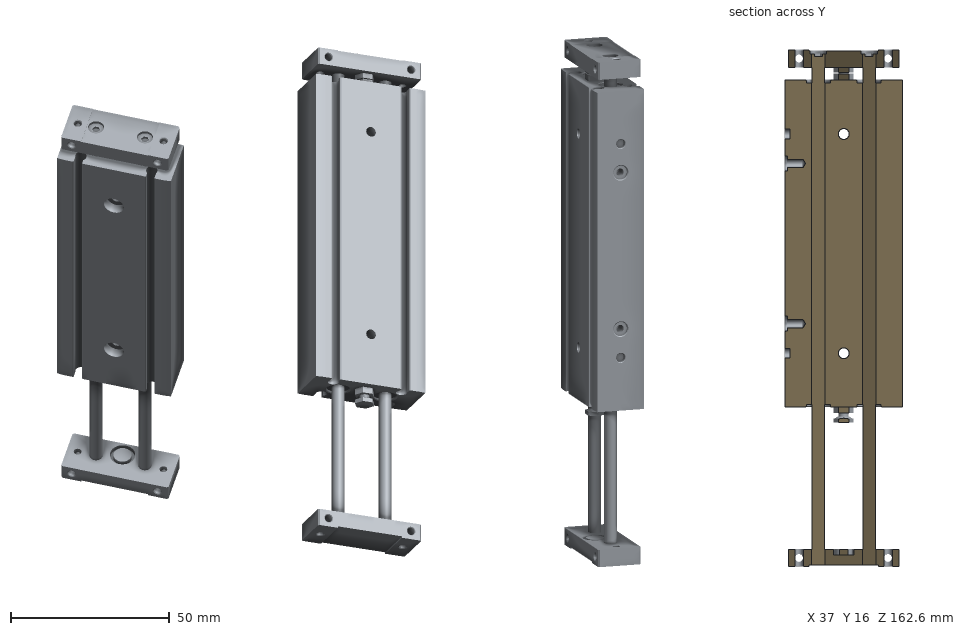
import cadquery as cq
import math

total_height = 162.6
plate_height = 5.5
housing_length = 103.0
housing_bottom = 50.2
housing_top = housing_bottom + housing_length
housing_middle = housing_bottom + housing_length / 2

housing_width = 37.0
housing_depth = 16.0
crown_width = 3.1
crown_drop = 0.25
groove_inner_x = 10.4
groove_outer_x = 13.2
groove_lip_width = 0.3
groove_lip_height = 0.2
channel_diameter = 3.5
channel_x = 11.5
channel_depth = 3.0

mount_pitch = 69.0
mount_diameter = 3.3
mount_counterbore_diameter = 6.5
mount_counterbore_depth = 3.3
port_pitch = 50.4
port_mouth_diameter = 5.0
port_diameter = 4.5
port_depth = 0.8
port_passage_diameter = 2.5
port_passage_depth = 4.9
drill_tip_angle = 118.0
plug_mouth_diameter = 3.3
plug_diameter = 3.0
plug_depth = 1.6

plate_width = 35.0
plate_depth = 14.1
plate_edge_chamfer = 0.5
relief_width = 21.8
lower_relief_depth = 0.5
upper_relief_depth = 0.2
plate_hole_x = 14.0
plate_hole_mouth_diameter = 3.0
plate_hole_diameter = 2.5

rod_diameter = 4.0
rod_x = 8.0
rod_seat_mouth_diameter = 8.0
rod_seat_diameter = 7.5
rod_seat_depth = 0.8
rod_recess_diameter = 5.0
rod_recess_depth = 1.0
socket_across_flats = 2.1
socket_depth = 0.8

adjuster_y = 2.5
hex_across_flats = 5.5
nut_height = 2.0
lower_head_height = 1.3
stud_diameter = 3.3
lower_stud_length = 1.6
upper_stud_length = 0.3
collar_height = 0.7
bumper_recess_diameter = 8.0
bumper_diameter = 5.7
bumper_depth = 1.6

upper_plate_bottom = total_height - plate_height
rod_bottom = lower_relief_depth
rod_top = total_height - upper_relief_depth - rod_recess_depth


def cylinder(x, y, z, diameter, height):
    """Upright cylinder standing on height z."""
    return cq.Workplane("XY", origin=(x, y, z)).circle(diameter / 2).extrude(height)


def hexagon(x, y, z, across_flats, height):
    """Upright hexagonal prism with two corners along X."""
    across_corners = across_flats / math.cos(math.pi / 6)
    return cq.Workplane("XY", origin=(x, y, z)).polygon(6, across_corners).extrude(height)


def chamfered_hole(start, direction, mouth_diameter, diameter, depth):
    """Cutter for a hole with a 45 degree mouth, going from start along direction."""
    chamfer = (mouth_diameter - diameter) / 2
    start = cq.Vector(*start)
    direction = cq.Vector(*direction)
    bore = cq.Solid.makeCylinder(diameter / 2, depth, start, direction)
    mouth = cq.Solid.makeCone(mouth_diameter / 2, diameter / 2, chamfer, start, direction)
    return cq.Workplane(obj=bore.fuse(mouth))


def housing_block():
    """Extruded block whose front and back bow away slightly at the outer edges."""
    half_width = housing_width / 2
    half_depth = housing_depth / 2
    crown_x = half_width - crown_width
    edge_y = half_depth - crown_drop
    radius = (crown_width**2 + crown_drop**2) / (2 * crown_drop)
    middle_x = crown_x + crown_width / 2
    middle_y = half_depth - radius + math.sqrt(radius**2 - (crown_width / 2) ** 2)
    return (
        cq.Workplane("XY", origin=(0, 0, housing_bottom))
        .moveTo(-crown_x, -half_depth)
        .lineTo(crown_x, -half_depth)
        .threePointArc((middle_x, -middle_y), (half_width, -edge_y))
        .lineTo(half_width, edge_y)
        .threePointArc((middle_x, middle_y), (crown_x, half_depth))
        .lineTo(-crown_x, half_depth)
        .threePointArc((-middle_x, middle_y), (-half_width, edge_y))
        .lineTo(-half_width, -edge_y)
        .threePointArc((-middle_x, -middle_y), (-crown_x, -half_depth))
        .close()
        .extrude(housing_length)
    )


def sensor_groove(x_side, y_side):
    """Cutter for one full-length groove: bevelled lips, straight mouth and round channel."""
    face_y = housing_depth / 2
    channel_y = face_y - channel_depth
    lip_y = face_y - groove_lip_height
    mouth_points = [
        (groove_inner_x - groove_lip_width, face_y),
        (groove_inner_x, lip_y),
        (groove_inner_x, channel_y),
        (groove_outer_x, channel_y),
        (groove_outer_x, lip_y),
        (groove_outer_x + groove_lip_width, face_y),
    ]
    mouth_outline = [(x_side * x, y_side * y) for x, y in mouth_points]
    base = cq.Workplane("XY", origin=(0, 0, housing_bottom))
    mouth = base.polyline(mouth_outline).close().extrude(housing_length)
    axis = (x_side * channel_x, y_side * channel_y, housing_bottom)
    channel = cylinder(*axis, channel_diameter, housing_length)
    return mouth.union(channel)


def mount_hole(z):
    """Cutter for a through hole along Y, counterbored from the front."""
    bore = cq.Workplane("XZ", origin=(0, 0, z)).circle(mount_diameter / 2).extrude(housing_depth, both=True)
    counterbore = (
        cq.Workplane("XZ", origin=(0, -housing_depth / 2, z))
        .circle(mount_counterbore_diameter / 2)
        .extrude(-mount_counterbore_depth)
    )
    return bore.union(counterbore)


def port(z):
    """Cutter for an air port in the left side: shallow wide mouth, then a drilled passage."""
    face_x = -housing_width / 2
    mouth = chamfered_hole((face_x, 0, z), (1, 0, 0), port_mouth_diameter, port_diameter, port_depth)
    passage_radius = port_passage_diameter / 2
    tip_length = passage_radius / math.tan(math.radians(drill_tip_angle / 2))
    passage_start = face_x + port_depth
    passage_end = passage_start + port_passage_depth
    passage = (
        cq.Workplane("XY", origin=(0, 0, z))
        .moveTo(passage_start, 0)
        .lineTo(passage_start, passage_radius)
        .lineTo(passage_end, passage_radius)
        .lineTo(passage_end + tip_length, 0)
        .close()
        .revolve(360, (0, 0, 0), (1, 0, 0))
    )
    return mouth.union(passage)


def plug_hole(z):
    """Cutter for a small blind hole in the left side."""
    start = (-housing_width / 2, 0, z)
    return chamfered_hole(start, (1, 0, 0), plug_mouth_diameter, plug_diameter, plug_depth)


def rod_seat(x, z_side):
    """Cutter for the shallow seat around a rod, in the top or bottom end face."""
    start = (x, 0, housing_middle + z_side * housing_length / 2)
    return chamfered_hole(start, (0, 0, -z_side), rod_seat_mouth_diameter, rod_seat_diameter, rod_seat_depth)


def make_housing():
    body = housing_block()
    for x_side in (-1, 1):
        for y_side in (-1, 1):
            body = body.cut(sensor_groove(x_side, y_side))
        body = body.cut(cylinder(x_side * rod_x, 0, housing_bottom, rod_diameter, housing_length))
        for z_side in (-1, 1):
            body = body.cut(rod_seat(x_side * rod_x, z_side))
    for z_side in (-1, 1):
        mount_z = housing_middle + z_side * mount_pitch / 2
        port_z = housing_middle + z_side * port_pitch / 2
        body = body.cut(mount_hole(mount_z)).cut(plug_hole(mount_z)).cut(port(port_z))
    return body


def plate_blank(bottom, outer_side):
    """Plate with bevelled upright edges and crossing holes at both ends.

    outer_side is +1 or -1, the Z side facing away from the housing.
    """
    body = (
        cq.Workplane("XY", origin=(0, 0, bottom))
        .rect(plate_width, plate_depth)
        .extrude(plate_height)
        .edges("|Z")
        .chamfer(plate_edge_chamfer)
    )
    hole_sizes = (plate_hole_mouth_diameter, plate_hole_diameter)
    middle = bottom + plate_height / 2
    outer_z = middle + outer_side * plate_height / 2
    for x in (-plate_hole_x, plate_hole_x):
        body = body.cut(chamfered_hole((x, 0, outer_z), (0, 0, -outer_side), *hole_sizes, plate_height))
        for side in (-1, 1):
            start = (x, side * plate_depth / 2, middle)
            body = body.cut(chamfered_hole(start, (0, -side, 0), *hole_sizes, plate_depth))
    return body


def relief(bottom, depth):
    """Cutter for the shallow relief across the middle of a plate."""
    return cq.Workplane("XY", origin=(0, 0, bottom)).rect(relief_width, plate_depth).extrude(depth)


def make_lower_plate():
    body = plate_blank(0, -1).cut(relief(0, lower_relief_depth))
    for x in (-rod_x, rod_x):
        body = body.cut(cylinder(x, 0, rod_bottom, rod_diameter, plate_height))
    recess_bottom = plate_height - bumper_depth
    return body.cut(cylinder(0, adjuster_y, recess_bottom, bumper_recess_diameter, bumper_depth))


def make_upper_plate():
    body = plate_blank(upper_plate_bottom, 1)
    body = body.cut(relief(total_height - upper_relief_depth, upper_relief_depth))
    for x in (-rod_x, rod_x):
        body = body.cut(cylinder(x, 0, upper_plate_bottom, rod_diameter, plate_height))
        body = body.cut(cylinder(x, 0, rod_top, rod_recess_diameter, rod_recess_depth))
    return body


def make_rod(x):
    """Rod through both plates and the housing, with a hex socket in its upper end."""
    socket = hexagon(x, 0, rod_top - socket_depth, socket_across_flats, socket_depth)
    return cylinder(x, 0, rod_bottom, rod_diameter, rod_top - rod_bottom).cut(socket)


def make_upper_adjuster():
    """Nut on the housing and, just above it, a bolt head that meets the upper plate."""
    nut_top = housing_top + nut_height
    head_bottom = nut_top + upper_stud_length
    nut = hexagon(0, adjuster_y, housing_top, hex_across_flats, nut_height)
    stud = cylinder(0, adjuster_y, nut_top, stud_diameter, upper_stud_length)
    head = hexagon(0, adjuster_y, head_bottom, hex_across_flats, upper_plate_bottom - head_bottom)
    return nut.union(stud).union(head)


def make_lower_adjuster():
    """Nut under the housing, a short length of stud, a conical collar and a bolt head."""
    nut_bottom = housing_bottom - nut_height
    head_top = nut_bottom - lower_stud_length
    head_bottom = head_top - lower_head_height
    nut = hexagon(0, adjuster_y, nut_bottom, hex_across_flats, nut_height)
    stud = cylinder(0, adjuster_y, head_top, stud_diameter, lower_stud_length)
    collar = cq.Solid.makeCone(
        hex_across_flats / 2, stud_diameter / 2, collar_height, cq.Vector(0, adjuster_y, head_top)
    )
    head = hexagon(0, adjuster_y, head_bottom, hex_across_flats, lower_head_height)
    return nut.union(stud).union(cq.Workplane(obj=collar)).union(head)


def make_bumper():
    """Round pad standing in the recess of the lower plate, with a gap around it."""
    return cylinder(0, adjuster_y, plate_height - bumper_depth, bumper_diameter, bumper_depth)


housing = make_housing()
lower_plate = make_lower_plate()
upper_plate = make_upper_plate()
rods = [make_rod(x) for x in (-rod_x, rod_x)]
upper_adjuster = make_upper_adjuster()
lower_adjuster = make_lower_adjuster()
bumper = make_bumper()

result = cq.Compound.makeCompound(
    [
        housing.val(),
        lower_plate.val(),
        upper_plate.val(),
        *[rod.val() for rod in rods],
        upper_adjuster.val(),
        lower_adjuster.val(),
        bumper.val(),
    ]
)